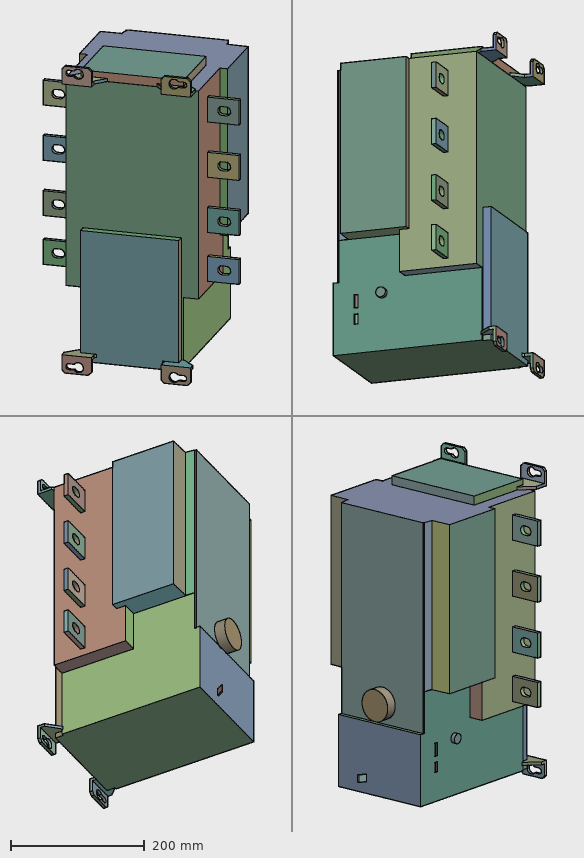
import cadquery as cq
import math

OVERALL_HEIGHT = 486.0

BODY_WIDTH = 207.5
BODY_FRONT = 30.0
BODY_TOP = 457.5
BODY_BOTTOM = 128.0
BODY_BACK = 153.5

WING_WIDTH = 231.5
WING_BOTTOM = 193.0
WING_FRONT = 138.0
WING_BACK = 243.0
RIDGE_ROOT_HALF_WIDTH = 82.0
RIDGE_ROOT_BACK = 244.0
RIDGE_BACK = 259.0
BACK_PLATE_THICKNESS = 2.5
BACK_PLATE_INSET = 1.0

DRIVE_WIDTH = 160.5
DRIVE_BACK = 268.5
DRIVE_BOTTOM = 15.0

FRONT_PANEL_WIDTH = 153.5
FRONT_PANEL_TOP = 222.0
FRONT_PANEL_FACE = 17.0
TOP_COVER_FRONT = 30.5
TOP_COVER_BACK = 144.0
TOP_COVER_HEIGHT = 14.0

TERMINAL_SPAN = 306.0
TERMINAL_HEIGHT = 39.5
TERMINAL_FRONT = 76.0
TERMINAL_THICKNESS = 7.5
TOP_TERMINAL_Z = 412.5
TERMINAL_PITCH = 87.5
PITCHED_TERMINALS = 3
LOWEST_TERMINAL_Z = 160.5
TERMINAL_LEVELS = [TOP_TERMINAL_Z - i * TERMINAL_PITCH for i in range(PITCHED_TERMINALS)]
TERMINAL_LEVELS.append(LOWEST_TERMINAL_Z)
TERMINAL_SLOT_X = 130.0
TERMINAL_SLOT_LENGTH = 20.0
TERMINAL_SLOT_WIDTH = 14.0

FOOT_INNER_X = 54.5
FOOT_OUTER_X = 100.5
FOOT_SHEET = 5.0
FOOT_CORNER = 5.0
FOOT_HEIGHT = OVERALL_HEIGHT - BODY_TOP
FOOT_INNER_BEND_Y = 14.0
FOOT_TONGUE_X = 38.5
UPPER_FOOT_OUTER_BEND_Y = 24.0
LOWER_FOOT_OUTER_BEND_Y = 11.5
KEYHOLE_X = 75.0
KEYHOLE_DIAMETER = 15.5
KEYHOLE_SLOT_END_X = 94.5
KEYHOLE_SLOT_WIDTH = 9.0
KEYHOLE_END_DISTANCE = 10.5

KNOB_DIAMETER = 50.0
KNOB_Z = 160.0
KNOB_END = 279.0
TAB_X = 26.2
TAB_THICKNESS = 2.5
TAB_TILT = 30.0
TAB_ROOT_DEPTH = 5.0
TAB_BOTTOM = 33.5
TAB_HEIGHT = 11.5

BUTTON_DIAMETER = 15.5
BUTTON_PROJECTION = 7.0
BUTTON_Y = 190.0
BUTTON_Z = 104.5
RECESS_FRONT = 229.0
RECESS_WIDTH = 6.0
RECESS_DEPTH = 3.0
RECESS_SPANS = [(86.0, 106.5), (60.8, 76.5)]


def block(width, front, back, bottom, top):
    """Box centred on X = 0."""
    return cq.Workplane("XY").box(
        width, back - front, top - bottom, centered=(True, False, False)
    ).translate((0, front, bottom))


def both_sides(shape):
    return shape.union(shape.mirror("YZ"))


def housing():
    main = block(BODY_WIDTH, BODY_FRONT, BODY_BACK, BODY_BOTTOM, BODY_TOP)
    neck = block(DRIVE_WIDTH, BODY_FRONT, RIDGE_BACK, BODY_BOTTOM, BODY_TOP)
    drive = block(DRIVE_WIDTH, BODY_FRONT, DRIVE_BACK, DRIVE_BOTTOM, BODY_BOTTOM)
    plate_width = DRIVE_WIDTH - 2 * BACK_PLATE_INSET
    plate_back = RIDGE_BACK + BACK_PLATE_THICKNESS
    back_plate = block(plate_width, RIDGE_BACK, plate_back, BODY_BOTTOM, BODY_TOP)
    return main.union(neck).union(drive).union(back_plate).union(wings())


def wings():
    right_half = [
        (WING_WIDTH / 2, WING_FRONT),
        (WING_WIDTH / 2, WING_BACK),
        (RIDGE_ROOT_HALF_WIDTH, RIDGE_ROOT_BACK),
        (DRIVE_WIDTH / 2, RIDGE_BACK),
    ]
    left_half = [(-x, y) for x, y in reversed(right_half)]
    return (
        cq.Workplane("XY", origin=(0, 0, WING_BOTTOM))
        .polyline(right_half + left_half)
        .close()
        .extrude(BODY_TOP - WING_BOTTOM)
    )


def front_panel():
    return block(FRONT_PANEL_WIDTH, FRONT_PANEL_FACE, BODY_FRONT, DRIVE_BOTTOM, FRONT_PANEL_TOP)


def top_cover():
    return block(DRIVE_WIDTH, TOP_COVER_FRONT, TOP_COVER_BACK, BODY_TOP, BODY_TOP + TOP_COVER_HEIGHT)


def terminal(level):
    back = TERMINAL_FRONT + TERMINAL_THICKNESS
    bottom = level - TERMINAL_HEIGHT / 2
    bar = block(TERMINAL_SPAN, TERMINAL_FRONT, back, bottom, bottom + TERMINAL_HEIGHT)
    slots = (
        cq.Workplane("XZ", origin=(0, back, level))
        .pushPoints([(-TERMINAL_SLOT_X, 0), (TERMINAL_SLOT_X, 0)])
        .slot2D(TERMINAL_SLOT_LENGTH, TERMINAL_SLOT_WIDTH)
        .extrude(TERMINAL_THICKNESS)
    )
    return bar.cut(slots)


def keyhole():
    """Cutter for the foot flange: round hole with a slot toward the outside."""
    z = OVERALL_HEIGHT - KEYHOLE_END_DISTANCE
    plane = cq.Workplane("XZ", origin=(0, FOOT_SHEET, z))
    hole = plane.center(KEYHOLE_X, 0).circle(KEYHOLE_DIAMETER / 2).extrude(FOOT_SHEET)
    slot_length = KEYHOLE_SLOT_END_X - KEYHOLE_X
    slot = (
        plane.center(KEYHOLE_X + slot_length / 2, 0)
        .slot2D(slot_length, KEYHOLE_SLOT_WIDTH)
        .extrude(FOOT_SHEET)
    )
    return hole.union(slot)


def foot_pair(outer_bend_y):
    """Angled feet pointing up: a keyholed flange and a shelf tapering onto the housing."""
    flange = (
        cq.Workplane("XY")
        .box(FOOT_OUTER_X - FOOT_INNER_X, FOOT_SHEET, FOOT_HEIGHT, centered=False)
        .translate((FOOT_INNER_X, 0, BODY_TOP))
        .edges("|Y and >Z")
        .chamfer(FOOT_CORNER)
        .cut(keyhole())
    )
    shelf_back = outer_bend_y + FOOT_OUTER_X - DRIVE_WIDTH / 2
    shelf = (
        cq.Workplane("XY", origin=(0, 0, BODY_TOP))
        .polyline([
            (FOOT_INNER_X, 0),
            (FOOT_OUTER_X, 0),
            (FOOT_OUTER_X, outer_bend_y),
            (DRIVE_WIDTH / 2, shelf_back),
            (FOOT_TONGUE_X, shelf_back),
            (FOOT_TONGUE_X, TOP_COVER_FRONT),
            (FOOT_INNER_X, FOOT_INNER_BEND_Y),
        ])
        .close()
        .extrude(FOOT_SHEET)
    )
    return both_sides(flange.union(shelf))


def lower_feet():
    return foot_pair(LOWER_FOOT_OUTER_BEND_Y).mirror("XY", (0, 0, OVERALL_HEIGHT / 2))


def knob():
    return (
        cq.Workplane("XZ", origin=(0, RIDGE_BACK, KNOB_Z))
        .circle(KNOB_DIAMETER / 2)
        .extrude(RIDGE_BACK - KNOB_END)
    )


def tab():
    """Thin tab leaning toward +X, rooted inside the drive housing."""
    reach = KNOB_END - DRIVE_BACK
    shift_per_depth = math.tan(math.radians(TAB_TILT))
    half_width = TAB_THICKNESS / 2 / math.cos(math.radians(TAB_TILT))
    root_x = TAB_X - TAB_ROOT_DEPTH * shift_per_depth
    tip_x = TAB_X + reach * shift_per_depth
    return (
        cq.Workplane("XY", origin=(0, 0, TAB_BOTTOM))
        .polyline([
            (root_x - half_width, DRIVE_BACK - TAB_ROOT_DEPTH),
            (root_x + half_width, DRIVE_BACK - TAB_ROOT_DEPTH),
            (tip_x + half_width, KNOB_END),
            (tip_x - half_width, KNOB_END),
        ])
        .close()
        .extrude(TAB_HEIGHT)
    )


def button():
    return (
        cq.Workplane("YZ", origin=(-DRIVE_WIDTH / 2, BUTTON_Y, BUTTON_Z))
        .circle(BUTTON_DIAMETER / 2)
        .extrude(-BUTTON_PROJECTION)
    )


def side_recess(bottom, top):
    return cq.Workplane("XY").box(
        RECESS_DEPTH, RECESS_WIDTH, top - bottom, centered=False
    ).translate((-DRIVE_WIDTH / 2, RECESS_FRONT, bottom))


result = housing().union(front_panel()).union(top_cover())
for terminal_level in TERMINAL_LEVELS:
    result = result.union(terminal(terminal_level))
result = result.union(foot_pair(UPPER_FOOT_OUTER_BEND_Y)).union(lower_feet())
result = result.union(knob()).union(tab()).union(button())
for recess_bottom, recess_top in RECESS_SPANS:
    result = result.cut(side_recess(recess_bottom, recess_top))